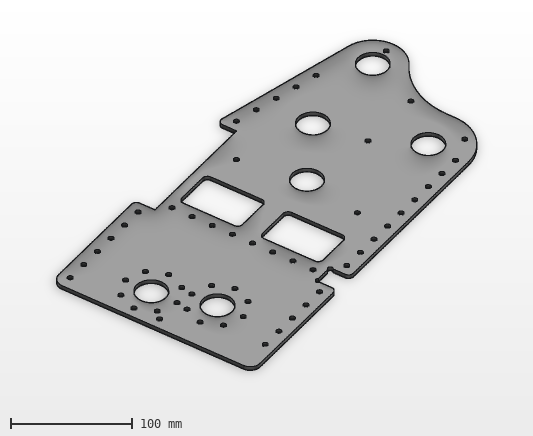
import cadquery as cq
import math

width = 200.0
length = 405
thickness = 4.0
half_width = width / 2

pitch = width / 10
half_pitch = pitch / 2
first_row_y = 12.0

screw_diameter = 5.0
bore_diameter = 28.8

bottom_corner_radius = half_pitch
small_corner_radius = 5.0
lobe_radius = 30.0
lobe_x = -34.5
lobe_y = length - lobe_radius
shoulder_radius = 2 * pitch
shoulder_x = half_width - shoulder_radius
shoulder_y = 317.0
saddle_radius = 70.0
relief_radius = 2.5
relief_inset = 1.2

left_rows = range(0, 6)
right_lower_rows = range(1, 6)
right_upper_rows = range(7, 16)
cross_row = 6
cross_row_count = 8
pair_row = 10

window_width = 3 * pitch
window_height = 2 * pitch
window_radius = 5.0

bolt_circle_radius = 25.5
bolts_per_circle = 8
right_bearing = (30.0, 51.0)
left_bearing = (-25.0, 35.2)
middle_bores = [(-33.2, 285.2), (2.5, 223.5)]
slant_first_screw = (-87.0, 252.5)
slant_screw_pitch = 22.0
slant_screw_count = 5
lone_screws = [(18.0, 353.5), (81.5, 338.5), (16.5, 292.5), (0, 10.0)]
lobe_screw_y = 395.0


def row_y(row):
    """Height of a grid row; half rows lie midway between two screw rows."""
    return first_row_y + row * pitch


ledge_y = row_y(5.5)
notch_top_y = row_y(6.5)
wing_y = row_y(11.5)
neck_x = -half_width + pitch
notch_x = half_width - pitch

tip_to_lobe_x = lobe_x + half_width
tip_to_lobe_y = lobe_y - wing_y
slant_angle = math.atan2(tip_to_lobe_y, tip_to_lobe_x) + math.asin(
    lobe_radius / math.hypot(tip_to_lobe_x, tip_to_lobe_y)
)


def lobe_point(angle):
    """Point on the rounded top of the plate, angle measured from +X."""
    return (lobe_x + lobe_radius * math.cos(angle), lobe_y + lobe_radius * math.sin(angle))


def make_plate():
    """Solid plate with its outer corners rounded."""
    shoulder_top_y = shoulder_y + shoulder_radius
    saddle_y = shoulder_top_y + saddle_radius
    rise = saddle_y - lobe_y
    saddle_x = lobe_x + math.sqrt((saddle_radius + lobe_radius) ** 2 - rise**2)
    saddle_angle = math.atan2(rise, saddle_x - lobe_x)
    saddle_start_angle = 1.5 * math.pi
    saddle_end_angle = saddle_angle + math.pi
    middle_angle = (saddle_start_angle + saddle_end_angle) / 2
    saddle_middle = (
        saddle_x + saddle_radius * math.cos(middle_angle),
        saddle_y + saddle_radius * math.sin(middle_angle),
    )
    shoulder_middle = (
        shoulder_x + shoulder_radius * math.cos(math.pi / 4),
        shoulder_y + shoulder_radius * math.sin(math.pi / 4),
    )

    plate = (
        cq.Workplane("XY")
        .moveTo(-half_width, 0)
        .lineTo(half_width, 0)
        .lineTo(half_width, ledge_y)
        .lineTo(notch_x, ledge_y)
        .lineTo(notch_x, notch_top_y)
        .lineTo(half_width, notch_top_y)
        .lineTo(half_width, shoulder_y)
        .threePointArc(shoulder_middle, (shoulder_x, shoulder_top_y))
        .lineTo(saddle_x, shoulder_top_y)
        .threePointArc(saddle_middle, lobe_point(saddle_angle))
        .threePointArc(lobe_point(math.pi / 2), lobe_point(slant_angle + math.pi / 2))
        .lineTo(-half_width, wing_y)
        .lineTo(neck_x, wing_y)
        .lineTo(neck_x, ledge_y)
        .lineTo(-half_width, ledge_y)
        .close()
        .extrude(thickness)
    )

    bottom_corners = [(-half_width, 0), (half_width, 0)]
    small_corners = [
        (-half_width, ledge_y),
        (half_width, ledge_y),
        (half_width, notch_top_y),
        (-half_width, wing_y),
    ]
    plate = round_corners(plate, bottom_corners, bottom_corner_radius)
    return round_corners(plate, small_corners, small_corner_radius)


def round_corners(body, corners, radius):
    for x, y in corners:
        nearest = cq.selectors.NearestToPointSelector((x, y, thickness / 2))
        body = body.edges("|Z").edges(nearest).fillet(radius)
    return body


def cylinders(points, radius):
    return cq.Workplane("XY").pushPoints(points).circle(radius).extrude(thickness)


def make_windows():
    window_x = half_pitch + window_width / 2
    window_y = notch_top_y + window_height / 2
    return (
        cq.Workplane("XY")
        .pushPoints([(-window_x, window_y), (window_x, window_y)])
        .rect(window_width, window_height)
        .extrude(thickness)
        .edges("|Z")
        .fillet(window_radius)
    )


def bolt_circle(center):
    step = 2 * math.pi / bolts_per_circle
    return [
        (
            center[0] + bolt_circle_radius * math.cos(i * step),
            center[1] + bolt_circle_radius * math.sin(i * step),
        )
        for i in range(bolts_per_circle)
    ]


def grid_screws():
    column_x = half_width - half_pitch
    cross_row_start = -(cross_row_count - 1) / 2 * pitch
    pair_x = 3 * pitch
    left_column = [(-column_x, row_y(row)) for row in left_rows]
    right_lower = [(column_x, row_y(row)) for row in right_lower_rows]
    right_upper = [(column_x, row_y(row)) for row in right_upper_rows]
    cross = [(cross_row_start + i * pitch, row_y(cross_row)) for i in range(cross_row_count)]
    pair = [(-pair_x, row_y(pair_row)), (pair_x, row_y(pair_row))]
    return left_column + right_lower + right_upper + cross + pair


def slant_screws():
    return [
        (
            slant_first_screw[0] + i * slant_screw_pitch * math.cos(slant_angle),
            slant_first_screw[1] + i * slant_screw_pitch * math.sin(slant_angle),
        )
        for i in range(slant_screw_count)
    ]


bores = [(lobe_x, lobe_y), (shoulder_x, shoulder_y), right_bearing, left_bearing] + middle_bores
screws = grid_screws() + slant_screws() + bolt_circle(right_bearing) + bolt_circle(left_bearing)
screws += lone_screws + [(lobe_x, lobe_screw_y)]
reliefs = [
    (notch_x + relief_inset, notch_top_y - relief_inset),
    (notch_x + relief_inset, ledge_y + relief_inset),
]

result = (
    make_plate()
    .cut(make_windows())
    .cut(cylinders(reliefs, relief_radius))
    .cut(cylinders(bores, bore_diameter / 2))
    .cut(cylinders(screws, screw_diameter / 2))
)